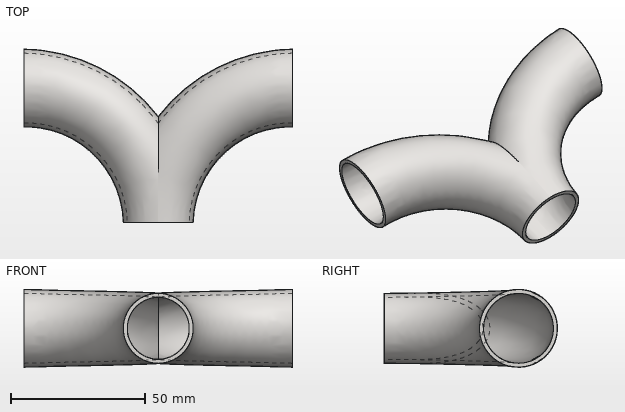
import cadquery as cq

bend_radius = 50.0
inlet_diameter = 26.0
outlet_diameter = 29.0
wall = 1.5

block_size = 4 * bend_radius


def tapered_bend(start_diameter, end_diameter):
    """Solid quarter bend from the origin (heading +Y) to an outlet facing +X."""
    path = cq.Workplane("XY").radiusArc((bend_radius, bend_radius), bend_radius)
    start_plane = cq.Plane(origin=(0, 0, 0), xDir=(1, 0, 0), normal=(0, 1, 0))
    return (
        cq.Workplane(start_plane)
        .circle(start_diameter / 2)
        .transformed(rotate=(0, 90, 0), offset=(bend_radius, 0, bend_radius))
        .circle(end_diameter / 2)
        .sweep(path, multisection=True)
    )


def right_arm():
    """Hollow +X arm, trimmed at the YZ plane where it meets its mirror image."""
    outside = tapered_bend(inlet_diameter, outlet_diameter)
    bore = tapered_bend(inlet_diameter - 2 * wall, outlet_diameter - 2 * wall)
    positive_x = cq.Workplane("XY").box(block_size, block_size, block_size, centered=(False, True, True))
    return outside.cut(bore).intersect(positive_x)


arm = right_arm()
result = arm.union(arm.mirror("YZ"))